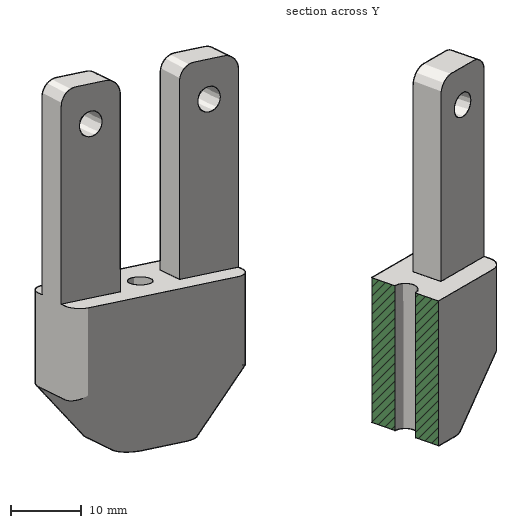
import cadquery as cq

width = 30.0
total_height = 55.0

base_thickness = 12.0
base_height = 23.0
taper_height = 9.0
foot_width = 14.0
base_edge_radius = 2.5
base_hole_diameter = 3.6

prong_width = 10.0
prong_thickness = 5.0
prong_corner_radius = 2.5
prong_hole_diameter = 3.8
prong_hole_drop = 6.0

prong_height = total_height - base_height
prong_offset = (width - prong_width) / 2


def make_base():
    """Block narrowing towards its foot, with rounded end edges and a vertical through hole."""
    half_width = width / 2
    half_foot = foot_width / 2
    outline = [
        (-half_foot, 0),
        (half_foot, 0),
        (half_width, taper_height),
        (half_width, base_height),
        (-half_width, base_height),
        (-half_width, taper_height),
    ]
    block = cq.Workplane("YZ").polyline(outline).close().extrude(base_thickness / 2, both=True)
    block = block.edges("not(|X or |Y)").fillet(base_edge_radius)
    hole = cq.Workplane("XY").circle(base_hole_diameter / 2).extrude(base_height)
    return block.cut(hole)


def make_prong(y_center):
    """Flat prong with rounded tip corners and a cross hole along X."""
    prong = (
        cq.Workplane("XY", origin=(0, y_center, base_height))
        .rect(prong_thickness, prong_width)
        .extrude(prong_height)
        .edges("|X and >Z")
        .fillet(prong_corner_radius)
    )
    hole = (
        cq.Workplane("YZ", origin=(0, y_center, total_height - prong_hole_drop))
        .circle(prong_hole_diameter / 2)
        .extrude(prong_thickness / 2, both=True)
    )
    return prong.cut(hole)


result = make_base()
for side in (-1, 1):
    result = result.union(make_prong(side * prong_offset))